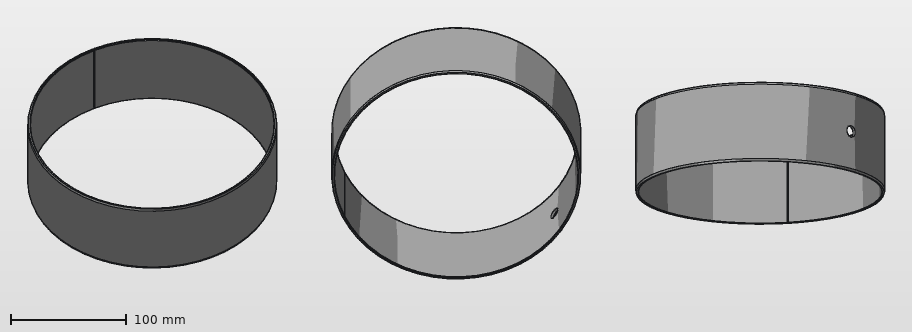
import cadquery as cq

outer_diameter = 215.0
wall = 2.5
height = 70.0
outer_bevel_height = 2.0
inner_bevel_height = 0.6
bevel_width = 0.6
gap_width = 1.0
gap_offset = 1.0
hole_diameter = 10.0
hole_angle = 59.2

outer_radius = outer_diameter / 2
inner_radius = outer_radius - wall
top = height / 2
outer_bevel_end = top - outer_bevel_height
inner_bevel_end = top - inner_bevel_height


def make_band():
    """Thin ring centred on the origin, bevelled inside and outside at both rims."""
    profile = cq.Workplane("XZ").polyline([
        (inner_radius, -inner_bevel_end),
        (inner_radius + bevel_width, -top),
        (outer_radius - bevel_width, -top),
        (outer_radius, -outer_bevel_end),
        (outer_radius, outer_bevel_end),
        (outer_radius - bevel_width, top),
        (inner_radius + bevel_width, top),
        (inner_radius, inner_bevel_end),
    ]).close()
    return profile.revolve(360, (0, 0, 0), (0, 1, 0))


def make_gap():
    """Full-height slit that opens the ring."""
    slit = cq.Workplane("XY").box(4 * wall, gap_width, 2 * height)
    return slit.translate((-outer_radius, gap_offset, 0))


def make_hole():
    """Radial hole through one side of the ring, at mid height."""
    drill = cq.Workplane("YZ").circle(hole_diameter / 2).extrude(outer_diameter)
    return drill.rotate((0, 0, 0), (0, 0, 1), hole_angle)


result = make_band().cut(make_gap()).cut(make_hole())